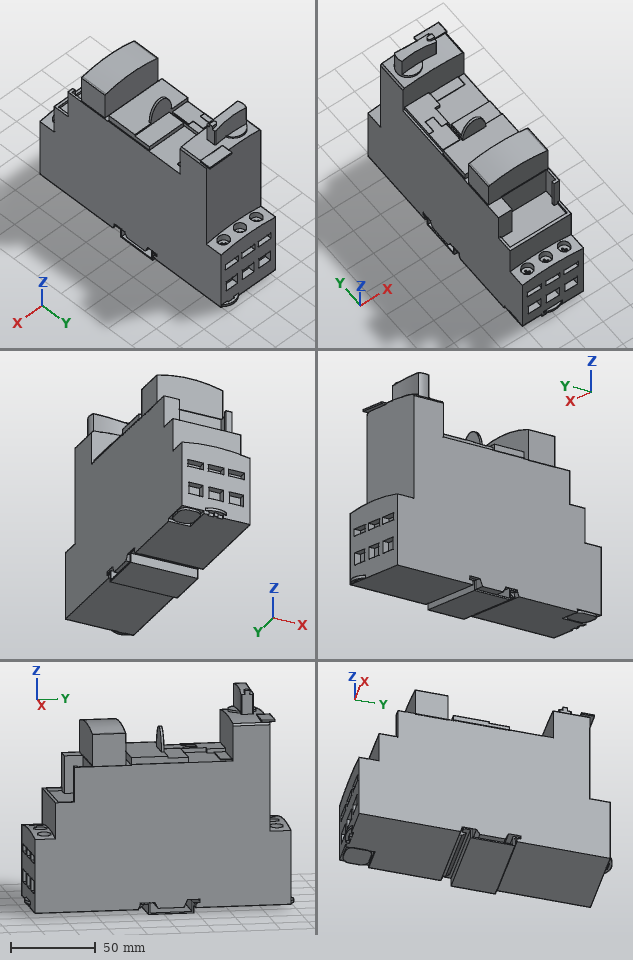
import cadquery as cq
import math


WIDTH = 45.0
HALF = WIDTH / 2
LENGTH = 153.7
TOTAL_LENGTH = 158.6
FRONT_STEP_Y = 12.2
PILLAR_FRONT_Y = 23.8
TOWER_FRONT_Y = 119.0
TOWER_REAR_Y = 141.2
STEP_Z = 66.3
FRONT_DECK_Z = 87.2
DECK_Z = 87.7

TERMINAL_EDGE_Z = 44.5
TERMINAL_CREST_Z = 46.6
TOWER_CREST_Z = 111.5
TOWER_CROWN_DROP = 1.5
TOWER_CHAMFER_X = 1.1
TOWER_CHAMFER_Z = 1.3

COVER_HALF = 21.9
COVER_FRONT_Y = 34.5
COVER_REAR_Y = 54.5
COVER_CREST_Z = 109.6
COVER_CROWN_DROP = 2.7
COVER_CHAMFER_X = 1.0
COVER_CHAMFER_Z = 0.3
BLOCK_FRONT_Y = 57.9
BLOCK_REAR_Y = 80.0
BLOCK_Z = 91.8

WALL = 1.6
POCKET_REAR_Y = 35.0
RIM_DEPTH = 1.7
RIM_FRONT_Y = 14.3
PILLAR_INNER_X = -12.4
TAB_INNER_X = 18.4
TAB_THICKNESS = 2.0

PLATE_LEFT_X = -21.1
PLATE_Z = 90.2
PLATE_WIDE_X = -3.3
PLATE_NARROW_X = -7.0
PLATE_JOG_Y = 107.8
KEY_DEPTH = 0.3
KEY_RIGHT_X = -8.4
KEY_REAR_Y = 94.8
KEY_TAB_LEFT_X = -17.6
KEY_TAB_RIGHT_X = -11.7
KEY_TAB_REAR_Y = 103.2
KEY_GAP = 0.6
RIB_FRONT_Y = 83.5
SLAB_LEFT_X = -6.3
SLAB_REAR_Y = 92.3
SLAB_Z = 90.7
STRIP_RIGHT_X = 18.1
STRIP_FRONT_Y = 112.1
STRIP_HEIGHT = 0.5

LEVER_HALF = 8.5
LEVER_TOP_Z = 105.6
LEVER_THICKNESS = 1.6

KNOB_X = -10.2
KNOB_Y = 130.0
KNOB_RADIUS = 8.4
KNOB_DISC_Z = 112.6
KNOB_TOP_Z = 126.5
KNOB_TIP_Z = 124.5
KNOB_TIP_X = 8.1
KNOB_HALF = 3.8
KNOB_WAIST = 3.0
KNOB_TIP_CHAMFER = 0.6
POINTER_RADIUS = 1.5
POINTER_X = 5.2
POINTER_Z = 126.9

FLAP_LEFT_X = 4.3
FLAP_FRONT_Y = 136.0
FLAP_REAR_Y = 144.2
FLAP_BOTTOM_Z = 110.5
FLAP_TOP_Z = 111.7

POLE_PITCH = 13.5
SCREW_INSET = 7.1
SCREW_RADIUS = 4.0
SCREW_HEAD_Z = 41.5
CROSS_LENGTH = 4.1
CROSS_WIDTH = 1.0
CROSS_DEPTH = 1.0
UPPER_ENTRY = (10.5, 4.5, 31.5, 4.8)
LOWER_ENTRY = (9.4, 7.6, 14.9, 4.3)

FRONT_LATCH_HALF = 7.0
FRONT_LATCH_REACH = 2.0
FRONT_LATCH_Z = (2.2, 4.0)
LATCH_SLOT_INNER_X = 1.3
LATCH_SLOT_OUTER_X = 4.8
LATCH_SLOT_DEPTH = 1.3
REAR_LATCH_X = 14.9
REAR_LATCH_HALF = 6.8
REAR_LATCH_REACH = TOTAL_LENGTH - FRONT_LATCH_REACH - LENGTH
REAR_LATCH_Z = (0.3, 2.0)
REAR_SLIT = (5.0, 1.0)
NOTCH_RIGHT_X = -8.1
NOTCH_REAR_Y = 18.0
NOTCH_Z = 1.9
PAD_BOTTOM_Z = 0.5
PAD_MARGIN = 1.0
PAD_RADIUS = 4.8

RAIL_HALF = 22.2
RAIL_THICKNESS = 1.0
RAIL_TOP_Z = 4.0
RAIL_BOTTOM_Z = -3.2
RAIL_REAR_Y = 99.0
RAIL_FRONT_Y = 64.0
RAIL_WEB_REAR_Y = 95.3
RAIL_WEB_FRONT_Y = 68.2
CLIP_HALF = 19.0
CLIP_TIP_Y = 66.6
CLIP_HEEL_Y = 63.9
CLIP_ROOT_Y = 61.9
HOOK_Y = 96.6
HOOK_Z = 2.0
HOOK_BEVEL = 1.1
RECESS_REAR_Z = 5.0
RECESS_FRONT_Y = 63.1
RECESS_FRONT_Z = 2.9
RECESS_MOUTH_Y = 62.0
RIB_BOTTOM_Z = 0.5
RIB_TOP_Y = (91.5, 71.8)
RIB_BOTTOM_Y = (89.5, 73.9)


def box(x0, x1, y0, y1, z0, z1):
    return cq.Workplane("XY").box(x1 - x0, y1 - y0, z1 - z0, centered=False).translate((x0, y0, z0))


def side_prism(points, half_width):
    """Extrude a closed (Y, Z) outline symmetrically about X = 0."""
    return cq.Workplane("YZ").polyline(points).close().extrude(half_width, both=True)


def crowned_block(half, y0, y1, z0, crest, drop, chamfer_x=0.0, chamfer_z=0.0):
    """Block with a top arched across X and optionally chamfered along its two upper edges."""
    shoulder = crest - drop
    outline = cq.Workplane("XZ", origin=(0, y1, 0)).moveTo(-half, z0)
    outline = outline.lineTo(-half, shoulder - chamfer_z)
    if chamfer_x:
        outline = outline.lineTo(-half + chamfer_x, shoulder)
    outline = outline.threePointArc((0, crest), (half - chamfer_x, shoulder))
    if chamfer_x:
        outline = outline.lineTo(half, shoulder - chamfer_z)
    return outline.lineTo(half, z0).close().extrude(y1 - y0)


def arc_tab(x, y, half, reach, z0, z1):
    """Thin tab whose outer edge is an arc bulging by reach (signed) from the face at y."""
    outline = cq.Workplane("XY", origin=(x, y, z0)).moveTo(-half, 0)
    return outline.threePointArc((0, reach), (half, 0)).close().extrude(z1 - z0)


def make_body():
    body = crowned_block(
        HALF, 0, LENGTH, 0, TERMINAL_CREST_Z, TERMINAL_CREST_Z - TERMINAL_EDGE_Z)
    body = body.union(box(-HALF, HALF, FRONT_STEP_Y, TOWER_REAR_Y, 0, STEP_Z))
    body = body.union(box(-HALF, HALF, PILLAR_FRONT_Y, TOWER_REAR_Y, 0, FRONT_DECK_Z))
    body = body.union(box(-HALF, HALF, BLOCK_FRONT_Y, TOWER_REAR_Y, 0, DECK_Z))
    tower = crowned_block(
        HALF, TOWER_FRONT_Y, TOWER_REAR_Y, 0, TOWER_CREST_Z, TOWER_CROWN_DROP,
        TOWER_CHAMFER_X, TOWER_CHAMFER_Z)
    return body.union(tower)


def front_pocket():
    """Open pocket below the relay cover, with a sunken floor, a corner pillar and a small tab."""
    inner = HALF - WALL
    floor = STEP_Z - RIM_DEPTH
    pocket = box(-inner, inner, RIM_FRONT_Y, POCKET_REAR_Y, floor, FRONT_DECK_Z)
    pocket = pocket.cut(box(-HALF, PILLAR_INNER_X, PILLAR_FRONT_Y, POCKET_REAR_Y, 0, FRONT_DECK_Z))
    tab_rear = PILLAR_FRONT_Y + TAB_THICKNESS
    return pocket.cut(box(TAB_INNER_X, HALF, PILLAR_FRONT_Y, tab_rear, 0, FRONT_DECK_Z))


def cover_and_block():
    cover = crowned_block(
        COVER_HALF, COVER_FRONT_Y, COVER_REAR_Y, FRONT_DECK_Z, COVER_CREST_Z, COVER_CROWN_DROP,
        COVER_CHAMFER_X, COVER_CHAMFER_Z)
    return cover.union(box(-COVER_HALF, COVER_HALF, BLOCK_FRONT_Y, BLOCK_REAR_Y, STEP_Z, BLOCK_Z))


def deck_plates():
    """Left plate with a lowered key set off by narrow gaps, plus the right slab and rear strip."""
    left = box(PLATE_LEFT_X, PLATE_NARROW_X, BLOCK_REAR_Y, TOWER_FRONT_Y, STEP_Z, PLATE_Z)
    left = left.union(box(PLATE_LEFT_X, PLATE_WIDE_X, PLATE_JOG_Y, TOWER_FRONT_Y, STEP_Z, PLATE_Z))
    key_z = PLATE_Z - KEY_DEPTH
    left = left.cut(box(PLATE_LEFT_X, KEY_RIGHT_X, BLOCK_REAR_Y, KEY_REAR_Y, key_z, PLATE_Z))
    left = left.cut(box(KEY_TAB_LEFT_X, KEY_TAB_RIGHT_X, KEY_REAR_Y, KEY_TAB_REAR_Y, key_z, PLATE_Z))
    gap_x = KEY_RIGHT_X + KEY_GAP
    gap_y = BLOCK_REAR_Y + KEY_GAP
    left = left.cut(box(PLATE_LEFT_X, KEY_RIGHT_X, BLOCK_REAR_Y, gap_y, DECK_Z, PLATE_Z))
    left = left.cut(box(KEY_RIGHT_X, gap_x, BLOCK_REAR_Y, KEY_REAR_Y, DECK_Z, PLATE_Z))
    left = left.cut(box(gap_x, PLATE_NARROW_X, BLOCK_REAR_Y, RIB_FRONT_Y, DECK_Z, PLATE_Z))
    slab = box(SLAB_LEFT_X, COVER_HALF, BLOCK_REAR_Y, SLAB_REAR_Y, STEP_Z, SLAB_Z)
    strip_z = DECK_Z + STRIP_HEIGHT
    strip = box(PLATE_WIDE_X, STRIP_RIGHT_X, STRIP_FRONT_Y, TOWER_FRONT_Y, STEP_Z, strip_z)
    return left.union(slab).union(strip)


def lever():
    """Upright tongue with a half-elliptical outline."""
    rear = cq.Workplane("XZ", origin=(0, BLOCK_REAR_Y, BLOCK_Z))
    oval = rear.ellipse(LEVER_HALF, LEVER_TOP_Z - BLOCK_Z).extrude(LEVER_THICKNESS)
    front_y = BLOCK_REAR_Y - LEVER_THICKNESS
    return oval.intersect(box(-LEVER_HALF, LEVER_HALF, front_y, BLOCK_REAR_Y, DECK_Z, LEVER_TOP_Z))


def knob():
    """Round base carrying a waisted grip with a crowned top and a pointer."""
    disc_bottom = TOWER_CREST_Z - TOWER_CROWN_DROP
    disc = cq.Workplane("XY", origin=(KNOB_X, KNOB_Y, disc_bottom)).circle(KNOB_RADIUS)
    disc = disc.extrude(KNOB_DISC_Z - disc_bottom)

    heel = KNOB_X - math.sqrt(KNOB_RADIUS**2 - KNOB_HALF**2)
    middle = (heel + KNOB_TIP_X) / 2
    shoulder = KNOB_TIP_X - KNOB_TIP_CHAMFER
    tip_half = KNOB_HALF - KNOB_TIP_CHAMFER
    grip = (
        cq.Workplane("XY", origin=(0, KNOB_Y, KNOB_DISC_Z))
        .moveTo(heel, -KNOB_HALF)
        .threePointArc((middle, -KNOB_WAIST), (shoulder, -KNOB_HALF))
        .lineTo(KNOB_TIP_X, -tip_half)
        .lineTo(KNOB_TIP_X, tip_half)
        .lineTo(shoulder, KNOB_HALF)
        .threePointArc((middle, KNOB_WAIST), (heel, KNOB_HALF))
        .threePointArc((KNOB_X - KNOB_RADIUS, 0), (heel, -KNOB_HALF))
        .close()
        .extrude(KNOB_TOP_Z - KNOB_DISC_Z)
    )
    run = KNOB_TIP_X - KNOB_X
    drop = KNOB_TOP_Z - KNOB_TIP_Z
    crown_radius = (run**2 + drop**2) / (2 * drop)
    crown = cq.Workplane("XZ", origin=(KNOB_X, KNOB_Y, KNOB_TOP_Z - crown_radius))
    crown = crown.circle(crown_radius).extrude(KNOB_HALF, both=True)
    pointer_bottom = KNOB_TIP_Z - POINTER_RADIUS
    pointer = cq.Workplane("XY", origin=(POINTER_X, KNOB_Y, pointer_bottom)).circle(POINTER_RADIUS)
    pointer = pointer.extrude(POINTER_Z - pointer_bottom)
    pointer = pointer.union(box(
        POINTER_X, KNOB_TIP_X, KNOB_Y - POINTER_RADIUS, KNOB_Y + POINTER_RADIUS,
        pointer_bottom, POINTER_Z))
    return disc.union(grip.intersect(crown)).union(pointer)


def flap():
    return box(FLAP_LEFT_X, HALF, FLAP_FRONT_Y, FLAP_REAR_Y, FLAP_BOTTOM_Z, FLAP_TOP_Z)


def screw_recess(x, y):
    """Screw hole ending on a screw head with a cross drive."""
    recess = cq.Workplane("XY", origin=(x, y, SCREW_HEAD_Z)).circle(SCREW_RADIUS)
    recess = recess.extrude(TERMINAL_CREST_Z - SCREW_HEAD_Z)
    for length_x, length_y in ((CROSS_LENGTH, CROSS_WIDTH), (CROSS_WIDTH, CROSS_LENGTH)):
        bar = cq.Workplane("XY").box(length_x, length_y, 2 * CROSS_DEPTH)
        recess = recess.union(bar.translate((x, y, SCREW_HEAD_Z)))
    return recess


def wire_entry(x, size):
    width, height, z, depth = size
    return box(x - width / 2, x + width / 2, 0, depth, z - height / 2, z + height / 2)


def terminals():
    """Screw holes and wire entries of the front terminals, repeated at the rear."""
    front = cq.Workplane("XY")
    for x in (-POLE_PITCH, 0, POLE_PITCH):
        front = front.add(screw_recess(x, SCREW_INSET))
        front = front.add(wire_entry(x, UPPER_ENTRY))
        front = front.add(wire_entry(x, LOWER_ENTRY))
    front = front.combine()
    return front.union(front.mirror("XZ", (0, LENGTH / 2, 0)))


def rail_recess():
    """Underside cut-out for the rail: rear hook, central rib and front clip space."""
    flange_bottom = RAIL_TOP_Z - RAIL_THICKNESS
    return side_prism([
        (HOOK_Y, 0),
        (HOOK_Y, HOOK_Z),
        (HOOK_Y + HOOK_BEVEL, flange_bottom),
        (RAIL_REAR_Y, flange_bottom),
        (RAIL_REAR_Y, RECESS_REAR_Z),
        (RIB_TOP_Y[0], RECESS_REAR_Z),
        (RIB_BOTTOM_Y[0], RIB_BOTTOM_Z),
        (RIB_BOTTOM_Y[1], RIB_BOTTOM_Z),
        (RIB_TOP_Y[1], RAIL_TOP_Z),
        (RECESS_FRONT_Y, RAIL_TOP_Z),
        (RECESS_FRONT_Y, RECESS_FRONT_Z),
        (RECESS_MOUTH_Y, 0)], HALF)


def rail():
    """Top-hat rail section."""
    t = RAIL_THICKNESS
    return side_prism([
        (RAIL_REAR_Y, RAIL_TOP_Z),
        (RAIL_WEB_REAR_Y - t, RAIL_TOP_Z),
        (RAIL_WEB_REAR_Y - t, RAIL_BOTTOM_Z + t),
        (RAIL_WEB_FRONT_Y + t, RAIL_BOTTOM_Z + t),
        (RAIL_WEB_FRONT_Y + t, RAIL_TOP_Z),
        (RAIL_FRONT_Y, RAIL_TOP_Z),
        (RAIL_FRONT_Y, RAIL_TOP_Z - t),
        (RAIL_WEB_FRONT_Y, RAIL_TOP_Z - t),
        (RAIL_WEB_FRONT_Y, RAIL_BOTTOM_Z),
        (RAIL_WEB_REAR_Y, RAIL_BOTTOM_Z),
        (RAIL_WEB_REAR_Y, RAIL_TOP_Z - t),
        (RAIL_REAR_Y, RAIL_TOP_Z - t)], RAIL_HALF)


def rail_clip():
    """Sprung nose that holds the front flange of the rail."""
    flange_bottom = RAIL_TOP_Z - RAIL_THICKNESS
    return side_prism([
        (CLIP_TIP_Y, flange_bottom), (CLIP_HEEL_Y, RIB_BOTTOM_Z),
        (CLIP_ROOT_Y, RIB_BOTTOM_Z), (CLIP_ROOT_Y, RAIL_TOP_Z),
        (RAIL_FRONT_Y, RAIL_TOP_Z), (RAIL_FRONT_Y, flange_bottom)], CLIP_HALF)


def latch_cuts():
    """Corner notch at the front left and the two slots beside the front latch stem."""
    cuts = box(-HALF, NOTCH_RIGHT_X, 0, NOTCH_REAR_Y, 0, NOTCH_Z)
    for side in (-1, 1):
        x0, x1 = sorted((side * LATCH_SLOT_INNER_X, side * LATCH_SLOT_OUTER_X))
        cuts = cuts.union(box(x0, x1, 0, LATCH_SLOT_DEPTH, 0, FRONT_LATCH_Z[0]))
    return cuts


def latches():
    """Arc-edged latches at the front and rear, and the rounded pad in the corner notch."""
    front = arc_tab(0, 0, FRONT_LATCH_HALF, -FRONT_LATCH_REACH, *FRONT_LATCH_Z)
    rear = arc_tab(REAR_LATCH_X, LENGTH, REAR_LATCH_HALF, REAR_LATCH_REACH, *REAR_LATCH_Z)
    slit_length, slit_width = REAR_SLIT
    rear = rear.cut(box(
        REAR_LATCH_X - slit_length / 2, REAR_LATCH_X + slit_length / 2,
        LENGTH, LENGTH + slit_width, *REAR_LATCH_Z))
    pad = box(
        -HALF + PAD_MARGIN / 2, NOTCH_RIGHT_X, PAD_MARGIN, NOTCH_REAR_Y - PAD_MARGIN,
        PAD_BOTTOM_Z, NOTCH_Z)
    return front.union(rear).union(pad.edges("|Z").fillet(PAD_RADIUS))


result = make_body().cut(front_pocket())
result = result.union(cover_and_block()).union(deck_plates()).union(lever())
result = result.union(flap()).union(knob())
result = result.cut(terminals()).cut(rail_recess()).cut(latch_cuts())
result = result.union(rail_clip()).union(rail()).union(latches())